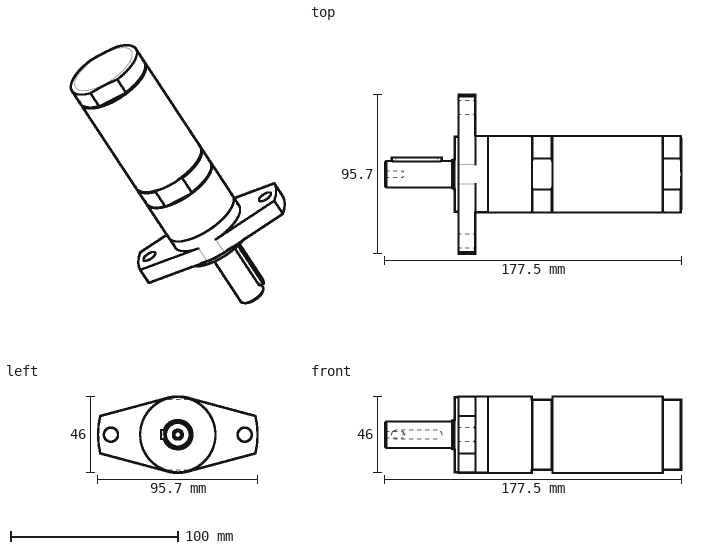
import cadquery as cq
import math

collar_start = 40.0
collar_land_start = 41.0
pilot_start = 41.7
flange_front = 43.8
flange_back = 54.1
neck_end = 61.8
grip_start = 87.9
grip_end = 100.1
cap_start = 166.5
overall_length = 177.5

shaft_diameter = 16.0
collar_neck_diameter = 16.9
collar_diameter = 17.5
pilot_diameter = 45.0
neck_diameter = 45.8
body_diameter = 46.0
end_face_diameter = 40.0
edge_chamfer = 0.5
shaft_chamfer = 0.9

across_flats = 42.0

flange_span = 95.7
flange_edge_angle = 15.0
bolt_circle_diameter = 80.0
bolt_hole_diameter = 8.3

key_start = 3.9
key_length = 30.2
key_width = 5.3
key_top = 10.1

centre_diameter = 4.0
centre_mouth_diameter = 6.0
centre_countersink_depth = 1.0
centre_depth = 10.6
drill_point_angle = 118.0


def cylinder(start, end, diameter):
    """Solid cylinder on the X axis between two stations."""
    return cq.Workplane("YZ").workplane(offset=start).circle(diameter / 2).extrude(end - start)


def end_cone(start, end, start_diameter, end_diameter):
    """Frustum on the X axis between two stations."""
    direction = cq.Vector(1, 0, 0)
    origin = cq.Vector(start, 0, 0)
    solid = cq.Solid.makeCone(start_diameter / 2, end_diameter / 2, end - start, origin, direction)
    return cq.Workplane(solid)


def wrench_envelope(start, end):
    """Block between two stations that leaves flats on +Z and -Z when intersected with the body."""
    length = end - start
    envelope = cq.Workplane("XY").box(length, body_diameter, across_flats)
    return envelope.translate((start + length / 2, 0, 0))


def make_shaft():
    shaft = cylinder(0, collar_land_start, shaft_diameter).faces("<X").chamfer(shaft_chamfer)
    collar = cylinder(collar_start, collar_land_start, collar_neck_diameter)
    land = cylinder(collar_land_start, pilot_start, collar_diameter)
    return shaft.union(collar).union(land)


def make_body():
    neck = cylinder(flange_front, neck_end, neck_diameter)
    barrel = cylinder(neck_end, grip_start, body_diameter)
    grip = cylinder(grip_start, grip_end, body_diameter).faces("<X or >X").chamfer(edge_chamfer)
    grip = grip.intersect(wrench_envelope(grip_start, grip_end))
    rear = cylinder(grip_end, cap_start, body_diameter).faces(">X").chamfer(edge_chamfer)
    cap_shoulder = overall_length - edge_chamfer
    cap = cylinder(cap_start, cap_shoulder, body_diameter)
    cap = cap.union(end_cone(cap_shoulder, overall_length, body_diameter, end_face_diameter))
    cap = cap.intersect(wrench_envelope(cap_start, overall_length))
    pilot = cylinder(pilot_start, flange_front, pilot_diameter)
    return pilot.union(neck).union(barrel).union(grip).union(rear).union(cap)


def make_flange():
    """Tapered plate tangent to the neck, with ear ends rounded about the body axis."""
    thickness = flange_back - flange_front
    neck_radius = neck_diameter / 2
    angle = math.radians(flange_edge_angle)
    tangent_y = neck_radius * math.sin(angle)
    tangent_z = neck_radius * math.cos(angle)
    tip_y = flange_span / 2
    tip_z = tangent_z - (tip_y - tangent_y) * math.tan(angle)
    plate = (
        cq.Workplane("YZ")
        .workplane(offset=flange_front)
        .moveTo(-tangent_y, tangent_z)
        .threePointArc((0, neck_radius), (tangent_y, tangent_z))
        .lineTo(tip_y, tip_z)
        .lineTo(tip_y, -tip_z)
        .lineTo(tangent_y, -tangent_z)
        .threePointArc((0, -neck_radius), (-tangent_y, -tangent_z))
        .lineTo(-tip_y, -tip_z)
        .lineTo(-tip_y, tip_z)
        .close()
        .extrude(thickness)
    )
    plate = plate.intersect(cylinder(flange_front, flange_back, flange_span))
    holes = (
        cq.Workplane("YZ")
        .workplane(offset=flange_front)
        .pushPoints([(-bolt_circle_diameter / 2, 0), (bolt_circle_diameter / 2, 0)])
        .circle(bolt_hole_diameter / 2)
        .extrude(thickness)
    )
    return plate.cut(holes)


def make_key():
    """Parallel key with round ends, seated on the shaft axis."""
    key = cq.Workplane("XZ").center(key_start + key_length / 2, 0).slot2D(key_length, key_width)
    return key.extrude(-key_top)


def make_centre_hole():
    point_depth = centre_diameter / 2 / math.tan(math.radians(drill_point_angle / 2))
    mouth = end_cone(0, centre_countersink_depth, centre_mouth_diameter, centre_diameter)
    bore = cylinder(0, centre_depth, centre_diameter)
    point = end_cone(centre_depth, centre_depth + point_depth, centre_diameter, 0)
    return mouth.union(bore).union(point)


result = make_shaft().union(make_body()).union(make_flange()).union(make_key())
result = result.cut(make_centre_hole())